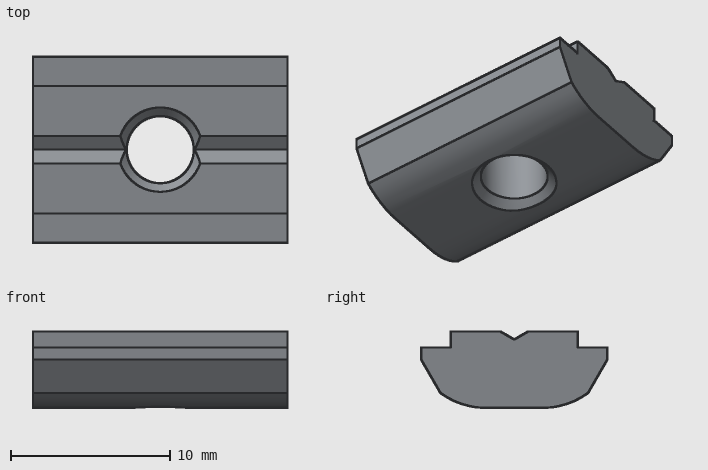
import cadquery as cq
import math

LENGTH = 16.0
WIDTH = 11.7
HEIGHT = 4.8

NECK_WIDTH = 8.0
NECK_HEIGHT = 1.0
FLANGE_EDGE_HEIGHT = 0.77
FLANK_ANGLE = 60.0
BOTTOM_FLAT_WIDTH = 3.6
BOTTOM_RADIUS = 4.8

GROOVE_DEPTH = 0.5
GROOVE_HALF_ANGLE = 60.0

HOLE_DIAMETER = 4.2
COUNTERSINK_DIAMETER = 5.3


def flank_meets_bottom_arc(flank_top_y, flank_top_z):
    """Return the (y, z) point where the straight flank reaches the bottom arc."""
    center_y = BOTTOM_FLAT_WIDTH / 2
    center_z = BOTTOM_RADIUS
    flank_dir_y = -math.cos(math.radians(FLANK_ANGLE))
    flank_dir_z = -math.sin(math.radians(FLANK_ANGLE))
    offset_y = flank_top_y - center_y
    offset_z = flank_top_z - center_z
    along = offset_y * flank_dir_y + offset_z * flank_dir_z
    excess = offset_y**2 + offset_z**2 - BOTTOM_RADIUS**2
    distance = -along + math.sqrt(along**2 - excess)
    return flank_top_y + distance * flank_dir_y, flank_top_z + distance * flank_dir_z


def bottom_arc_middle(end_y):
    """Return the (y, z) point halfway along the bottom arc, which is tangent to the flat."""
    flat_y = BOTTOM_FLAT_WIDTH / 2
    half_sweep = math.asin((end_y - flat_y) / BOTTOM_RADIUS) / 2
    middle_y = flat_y + BOTTOM_RADIUS * math.sin(half_sweep)
    middle_z = BOTTOM_RADIUS * (1 - math.cos(half_sweep))
    return middle_y, middle_z


def make_body():
    """Extrude half of the T-shaped section, with its V-groove, along X and mirror it."""
    half_width = WIDTH / 2
    half_neck = NECK_WIDTH / 2
    half_flat = BOTTOM_FLAT_WIDTH / 2
    half_groove = GROOVE_DEPTH * math.tan(math.radians(GROOVE_HALF_ANGLE))
    shoulder_z = HEIGHT - NECK_HEIGHT
    flank_top_z = shoulder_z - FLANGE_EDGE_HEIGHT
    arc_end = flank_meets_bottom_arc(half_width, flank_top_z)
    arc_middle = bottom_arc_middle(arc_end[0])

    half_section = (
        cq.Workplane("YZ", origin=(-LENGTH / 2, 0, 0))
        .moveTo(0, 0)
        .lineTo(half_flat, 0)
        .threePointArc(arc_middle, arc_end)
        .lineTo(half_width, flank_top_z)
        .lineTo(half_width, shoulder_z)
        .lineTo(half_neck, shoulder_z)
        .lineTo(half_neck, HEIGHT)
        .lineTo(half_groove, HEIGHT)
        .lineTo(0, HEIGHT - GROOVE_DEPTH)
    )
    half_body = half_section.close().extrude(LENGTH)
    return half_body.union(half_body.mirror("XZ")).clean()


def make_hole_cutter():
    """Revolve the through hole and its two countersinks about Z."""
    hole_radius = HOLE_DIAMETER / 2
    rim_radius = COUNTERSINK_DIAMETER / 2
    countersink_depth = rim_radius - hole_radius
    return (
        cq.Workplane("XZ")
        .moveTo(0, 0)
        .lineTo(rim_radius, 0)
        .lineTo(hole_radius, countersink_depth)
        .lineTo(hole_radius, HEIGHT - countersink_depth)
        .lineTo(rim_radius, HEIGHT)
        .lineTo(0, HEIGHT)
        .close()
        .revolve(360, (0, 0, 0), (0, 1, 0))
    )


result = make_body().cut(make_hole_cutter())